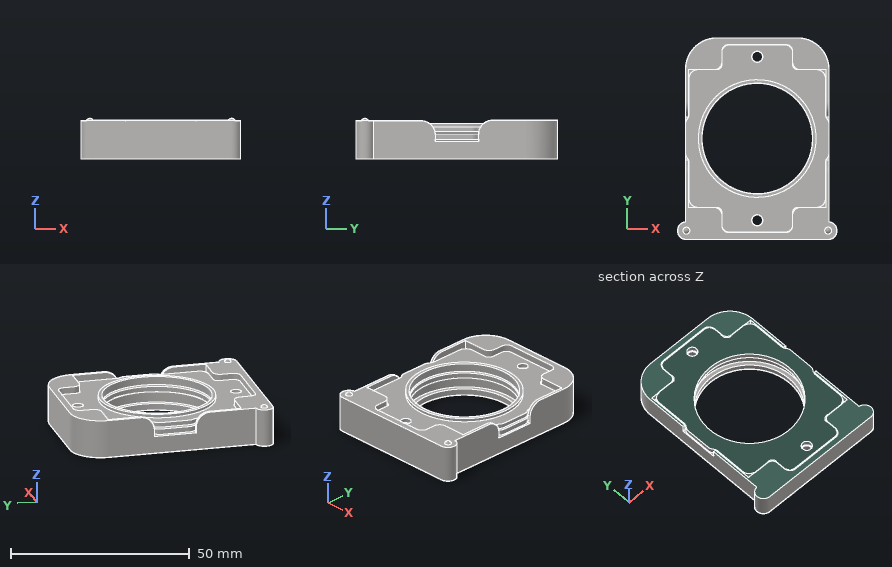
import cadquery as cq
import math


length = 56.45
half_width = 20.1
front_edge = -28.3
rear_edge = front_edge + length
rear_corner_radius = 8.85
overall_width = 44.6
ear_radius = 2.5
ear_flat = 0.05

front_height = 10.8
rear_height = 10.95
pocket_floor = 5.0
seat_floor = 2.0
overall_height = 11.45

dome_radius = 0.95
dome_x = overall_width / 2 - ear_radius
dome_y = front_edge + ear_radius + ear_flat
dome_height = overall_height - front_height

pocket_half = 19.25
tab_half_width = 9.9
tab_reach = 26.3
tab_radius = 2.0
pocket_neck_radius = 2.2
plate_neck_radius = 1.45
end_clearance = 0.15
plate_corner_radius = 2.5
lower_plate_bottom = 5.5
lower_plate_top = 7.05
upper_plate_bottom = 7.6
upper_plate_top = 9.0

window_half_width = 6.05
window_radius = 4.0
bulge_flat_half = 4.0
bulge_run = 2.8

opening_diameter = 30.9
ring_diameter = 32.9
ring_top = 10.0
seat_diameter = 33.4
screw_hole_diameter = 3.0
screw_hole_y = 22.85


def prism(outline, bottom, top):
    return outline.extrude(top - bottom).translate((0, 0, bottom))


def cylinder(diameter, bottom, top, x=0, y=0):
    return prism(cq.Workplane().center(x, y).circle(diameter / 2), bottom, top)


def box(x_size, y_min, y_max, bottom, top):
    outline = cq.Workplane().center(0, (y_min + y_max) / 2).rect(x_size, y_max - y_min)
    return prism(outline, bottom, top)


def cross(half_x, reach, neck_radius, bottom, top):
    """Rectangular block with a narrower tab at each end, rounded at the tab corners and necks."""
    block = box(2 * half_x, -pocket_half, pocket_half, bottom, top)
    block = block.union(box(2 * tab_half_width, -reach, reach, bottom, top))
    block = block.edges("|Z and (<Y or >Y)").fillet(tab_radius)
    neck_x = (tab_half_width + half_x) / 2
    neck_y = (pocket_half + reach - tab_radius) / 2
    necks = cq.selectors.BoxSelector((-neck_x, -neck_y, bottom), (neck_x, neck_y, top))
    return block.edges("|Z").edges(necks).fillet(neck_radius)


def drill_plate_holes(body):
    """Central opening and the two screw holes, straight through a body."""
    body = body.cut(cylinder(opening_diameter, 0, overall_height))
    for y in (-screw_hole_y, screw_hole_y):
        body = body.cut(cylinder(screw_hole_diameter, 0, overall_height, y=y))
    return body


def side_bulges(bottom, top):
    """Block across the plate whose two ends swell out to the housing side faces by S-curves."""
    base_x = pocket_half - end_clearance
    rise = half_width - base_x
    arc_turn = 2 * math.atan2(rise, bulge_run)
    arc_radius = bulge_run / 2 / math.sin(arc_turn)
    sag = arc_radius * (1 - math.cos(arc_turn / 2))
    step = arc_radius * math.sin(arc_turn / 2)
    bulge_end = bulge_flat_half + bulge_run
    bulge_mid = bulge_flat_half + bulge_run / 2
    mid_x = (base_x + half_width) / 2

    outline = (
        cq.Workplane()
        .moveTo(0, -bulge_end)
        .lineTo(base_x, -bulge_end)
        .threePointArc((base_x + sag, step - bulge_end), (mid_x, -bulge_mid))
        .threePointArc((half_width - sag, -bulge_flat_half - step), (half_width, -bulge_flat_half))
        .lineTo(half_width, bulge_flat_half)
        .threePointArc((half_width - sag, bulge_flat_half + step), (mid_x, bulge_mid))
        .threePointArc((base_x + sag, bulge_end - step), (base_x, bulge_end))
        .lineTo(0, bulge_end)
        .close()
    )
    right_side = prism(outline, bottom, top)
    return right_side.union(right_side.mirror("YZ"))


def make_plate(bottom, top):
    """Plate that fills the pocket outline, with a small gap at its sides and tab ends."""
    plate = cross(
        pocket_half - end_clearance, tab_reach - end_clearance, plate_neck_radius, bottom, top
    )
    plate = plate.edges("|Z and (<X or >X)").fillet(plate_corner_radius)
    plate = plate.union(side_bulges(bottom, top))
    return drill_plate_holes(plate)


def make_upper_plate():
    """Plate with a raised ring around its opening."""
    ring = cylinder(ring_diameter, upper_plate_top, ring_top)
    ring = ring.cut(cylinder(opening_diameter, upper_plate_top, ring_top))
    return make_plate(upper_plate_bottom, upper_plate_top).union(ring)


def housing_block():
    """Round-cornered block with two rounded ears, its front part slightly lower than the rear."""
    ear_middle = front_edge + ear_radius
    ear_rear = ear_middle + ear_flat + ear_radius
    block = box(2 * half_width, ear_middle, rear_edge, 0, rear_height)
    block = block.edges("|Z and >Y").fillet(rear_corner_radius)
    block = block.cut(box(2 * half_width, front_edge, 0, front_height, rear_height))
    ears = box(overall_width, front_edge, ear_rear, 0, front_height)
    ears = ears.edges("|Z").fillet(ear_radius)
    return block.union(ears)


def window_cutter():
    """Slot across both side walls, flaring at the top by a convex arc at each end."""
    flare_half = window_half_width + window_radius
    diagonal = window_radius * math.sqrt(0.5)
    front_centre = front_height - window_radius
    rear_centre = rear_height - window_radius
    outline = (
        cq.Workplane("YZ")
        .moveTo(-window_half_width, pocket_floor)
        .lineTo(-window_half_width, front_centre)
        .threePointArc((diagonal - flare_half, front_centre + diagonal), (-flare_half, front_height))
        .lineTo(-flare_half, overall_height)
        .lineTo(flare_half, overall_height)
        .lineTo(flare_half, rear_height)
        .threePointArc((flare_half - diagonal, rear_centre + diagonal), (window_half_width, rear_centre))
        .lineTo(window_half_width, pocket_floor)
        .close()
    )
    return outline.extrude(half_width, both=True)


def dome_arc_point():
    """Point halfway along the arc from the rim of a dome to its top."""
    sphere_radius = (dome_radius**2 + dome_height**2) / (2 * dome_height)
    half_angle = math.asin(dome_radius / sphere_radius) / 2
    drop = sphere_radius * (1 - math.cos(half_angle))
    return sphere_radius * math.sin(half_angle), dome_height - drop


def dome(x):
    """Spherical cap standing on an ear."""
    profile = (
        cq.Workplane("XZ")
        .lineTo(dome_radius, 0)
        .threePointArc(dome_arc_point(), (0, dome_height))
        .close()
    )
    return profile.revolve(360, (0, 0, 0), (0, 1, 0)).translate((x, dome_y, front_height))


def make_housing():
    """Housing with the plate pocket, side windows, opening with a wider seat, and domes."""
    pocket = cross(pocket_half, tab_reach, pocket_neck_radius, pocket_floor, rear_height)
    body = housing_block()
    body = body.cut(pocket)
    body = body.cut(window_cutter())
    body = body.cut(cylinder(seat_diameter, seat_floor, pocket_floor))
    body = drill_plate_holes(body)
    for x in (-dome_x, dome_x):
        body = body.union(dome(x))
    return body


housing = make_housing()
lower_plate = make_plate(lower_plate_bottom, lower_plate_top)
upper_plate = make_upper_plate()

result = cq.Compound.makeCompound(
    [housing.solids().val(), lower_plate.solids().val(), upper_plate.solids().val()]
)